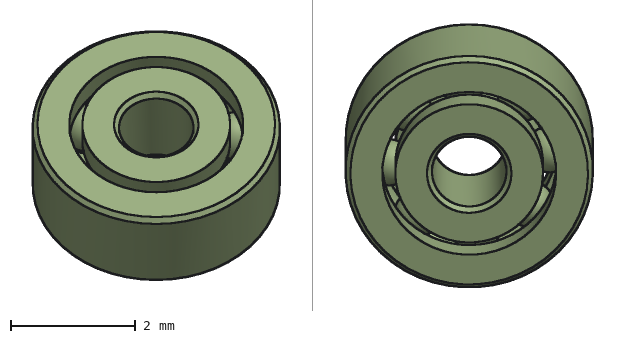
import cadquery as cq

OUTER_DIAMETER = 3.97
BORE_DIAMETER = 1.195
WIDTH = 1.59
INNER_RING_DIAMETER = 2.37
OUTER_RING_BORE = 2.79
EDGE_CHAMFER = 0.08
BALL_DIAMETER = 0.742
BALL_COUNT = 8

BALL_RADIUS = BALL_DIAMETER / 2
PITCH_RADIUS = (INNER_RING_DIAMETER + OUTER_RING_BORE) / 4


def make_tube(outside, inside):
    """Plain ring centred on the origin."""
    return cq.Workplane("XY").workplane(offset=-WIDTH / 2).circle(outside / 2).circle(inside / 2).extrude(WIDTH)


def make_raceway():
    """Torus swept by a ball circling the axis; it cuts the grooves in both rings."""
    return cq.Workplane(cq.Solid.makeTorus(PITCH_RADIUS, BALL_RADIUS))


def make_outer_ring():
    """Outer ring with both outside edges chamfered and a ball groove in its bore."""
    ring = make_tube(OUTER_DIAMETER, OUTER_RING_BORE)
    outside_edges = cq.selectors.RadiusNthSelector(-1)
    return ring.edges("%CIRCLE").edges(outside_edges).chamfer(EDGE_CHAMFER).cut(make_raceway())


def make_inner_ring():
    """Inner ring with both bore edges chamfered and a ball groove around its outside."""
    ring = make_tube(INNER_RING_DIAMETER, BORE_DIAMETER)
    bore_edges = cq.selectors.RadiusNthSelector(0)
    return ring.edges("%CIRCLE").edges(bore_edges).chamfer(EDGE_CHAMFER).cut(make_raceway())


def make_ball(angle):
    """One ball on the pitch circle, at an angle in degrees from +X."""
    ball = cq.Workplane("XY").sphere(BALL_RADIUS).translate((PITCH_RADIUS, 0, 0))
    return ball.rotate((0, 0, 0), (0, 0, 1), angle)


outer_ring = make_outer_ring()
inner_ring = make_inner_ring()

balls = []
for index in range(BALL_COUNT):
    balls.append(make_ball(index * 360 / BALL_COUNT).val())

result = cq.Compound.makeCompound([outer_ring.val(), inner_ring.val(), *balls])